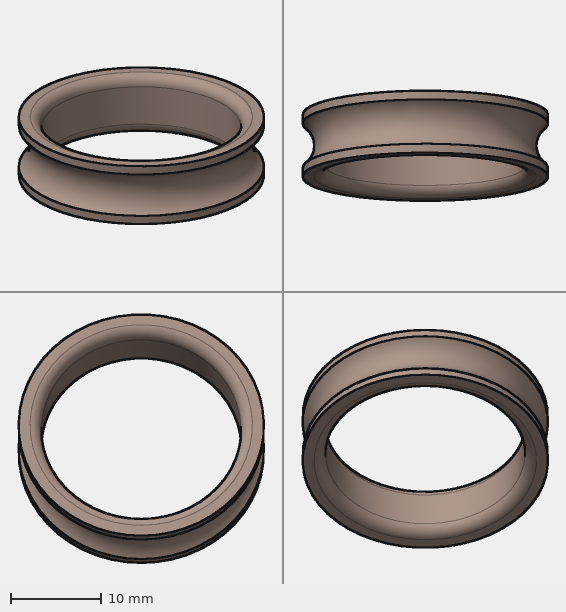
import cadquery as cq

outer_radius = 13.58
bore_radius = 11.05
height = 7.0
rim_height = 1.0
groove_depth = 1.25
bore_fillet = 1.25

half_height = height / 2
groove_half_width = half_height - rim_height
groove_floor_radius = outer_radius - groove_depth

ring = (
    cq.Workplane("XY")
    .circle(outer_radius)
    .circle(bore_radius)
    .extrude(half_height, both=True)
)

bore_edges = cq.selectors.RadiusNthSelector(0)
ring = ring.edges("%CIRCLE").edges(bore_edges).fillet(bore_fillet)

groove = (
    cq.Workplane("XZ")
    .moveTo(outer_radius, -groove_half_width)
    .threePointArc((groove_floor_radius, 0), (outer_radius, groove_half_width))
    .close()
    .revolve(360, (0, 0, 0), (0, 1, 0))
)

result = ring.cut(groove)